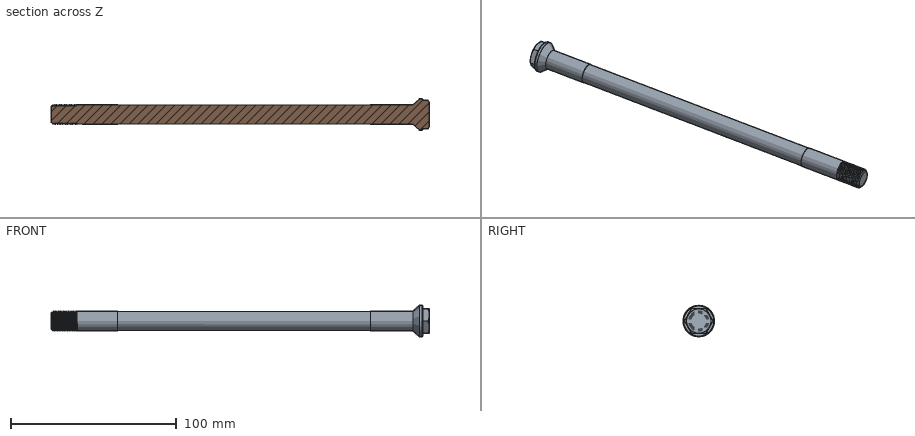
import cadquery as cq
import math

overall_length = 228.0
shank_diameter = 12.0
flange_diameter = 19.05

thread_length = 16.0
thread_pitch = 1.0
thread_depth = 0.84
thread_flank_angle = 30.0
tip_chamfer = 1.2
tip_allowance = 3.0

relief_start = 40.0
relief_end = 192.6
relief_diameter = 11.6

hexagon_across_flats = 15.0
hexagon_height = 4.0
flange_thickness = 2.0
flange_chamfer = 0.5
seat_length = 4.0
hexagon_chamfer_length = 0.9
hexagon_end_diameter = 14.6

shank_radius = shank_diameter / 2
flange_radius = flange_diameter / 2
hexagon_start = overall_length - hexagon_height
flange_start = hexagon_start - flange_thickness
seat_start = flange_start - seat_length


def revolve_about_x(points):
    """Solid of revolution about X from an (x, radius) outline."""
    return cq.Workplane("XZ").polyline(points).close().revolve(360, (0, 0, 0), (1, 0, 0))


def make_shank_and_flange():
    """Shank, conical seat and flange; the tip is left long until the thread is cut."""
    relief_radius = relief_diameter / 2
    return revolve_about_x([
        (-tip_allowance, 0),
        (-tip_allowance, shank_radius),
        (relief_start, shank_radius),
        (relief_start, relief_radius),
        (relief_end, relief_radius),
        (relief_end, shank_radius),
        (seat_start, shank_radius),
        (flange_start, flange_radius),
        (hexagon_start - flange_chamfer, flange_radius),
        (hexagon_start, flange_radius - flange_chamfer),
        (hexagon_start, 0),
    ])


def make_tip_waste():
    """Material outside the flat, chamfered tip."""
    outer_radius = flange_radius
    return revolve_about_x([
        (-2 * tip_allowance, 0),
        (0, 0),
        (0, shank_radius - tip_chamfer),
        (outer_radius - shank_radius + tip_chamfer, outer_radius),
        (-2 * tip_allowance, outer_radius),
    ])


def make_hexagon():
    """Hexagon with flats facing +Z and -Z and its outer corners chamfered by a cone."""
    corner_diameter = hexagon_across_flats / math.cos(math.radians(30))
    hexagon = (
        cq.Workplane("YZ", origin=(hexagon_start, 0, 0))
        .polygon(6, corner_diameter)
        .extrude(hexagon_height)
    )
    end_radius = hexagon_end_diameter / 2
    corner_radius = corner_diameter / 2
    envelope = revolve_about_x([
        (hexagon_start, 0),
        (hexagon_start, corner_radius),
        (overall_length - hexagon_chamfer_length, corner_radius),
        (overall_length, end_radius),
        (overall_length, 0),
    ])
    return hexagon.intersect(envelope)


def make_thread_groove():
    """Helical V groove that starts ahead of the tip and ends at the thread length."""
    root_radius = shank_radius - thread_depth
    crest_clearance = 0.02
    cut_depth = thread_depth + crest_clearance
    outer_half_width = cut_depth * math.tan(math.radians(thread_flank_angle))
    groove_start = -thread_pitch
    groove_length = thread_length - groove_start - outer_half_width
    helix = cq.Wire.makeHelix(
        thread_pitch, groove_length, root_radius, cq.Vector(groove_start, 0, 0), cq.Vector(1, 0, 0)
    )
    start = helix.startPoint()
    radial = cq.Vector(0, start.y, start.z).normalized()
    plane = cq.Plane(origin=start.toTuple(), xDir=(1, 0, 0), normal=cq.Vector(1, 0, 0).cross(radial))
    return (
        cq.Workplane(plane)
        .polyline([
            (0, 0),
            (outer_half_width, cut_depth),
            (-outer_half_width, cut_depth),
        ])
        .close()
        .sweep(cq.Workplane(helix), isFrenet=True)
    )


threaded_shank = make_shank_and_flange().cut(make_thread_groove()).cut(make_tip_waste())
result = threaded_shank.union(make_hexagon())